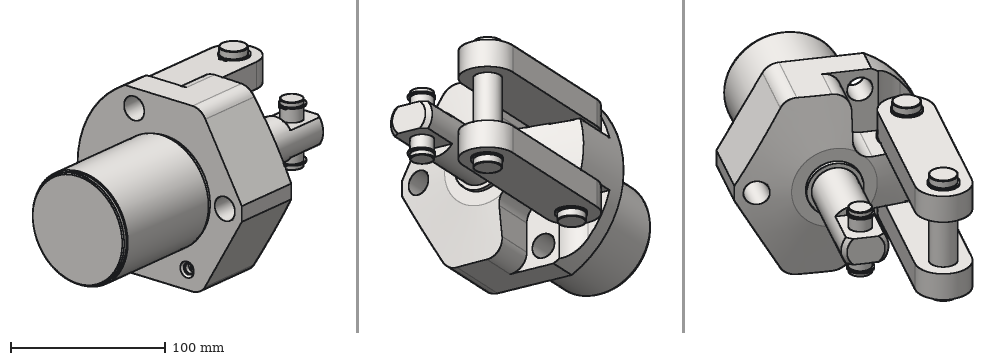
import cadquery as cq
import math


barrel_radius = 39.69
barrel_neck_radius = 38.5
barrel_neck_length = 3.2
barrel_length = 88.9
barrel_cap_length = 3.2
barrel_cap_chamfer = 0.9

flange_radius = 73.025
flange_half_height = 65.09
flange_right = 65.09
flange_nose_half_height = 5.5
flange_nose_angle = 60.0
flange_corner_radius = 12.7
flange_height = 57.15
crown_flat_radius = 28.6
crown_slope = 10.0
bolt_hole_diameter = 17.0
bolt_positions = [(50.8, 0), (-25.4, 50.8), (-25.4, -50.8)]

lug_half_width = 19.05
notch_floor = 22.225
notch_wall_x = -12.7
notch_round_radius = 12.7

port_x = 19.05
port_z = -50.8
port_mouth_radius = 5.7
port_seat_radius = 4.1
port_bore_radius = 3.4
port_seat_depth = 2.5
port_bore_depth = 6.0
port_socket_diameter = 4.0
port_socket_depth = 9.0

rod_radius = 15.875
rod_end = 146.6
rod_chamfer = 3.2
rod_flat_half_width = 9.525
rod_flat_start = 113.9
wiper_radius = 19.05
wiper_height = 3.2
rod_pin_radius = 7.94
rod_pin_y = 130.4
rod_pin_half_length = 23.81
rod_ring_height = 19.4

link_half_width = 19.05
link_thickness = 19.05
link_inner = lug_half_width
link_outer = link_inner + link_thickness
link_x = -flange_radius + link_half_width
lower_pin_y = 33.34
link_pitch = 103.16
link_pin_radius = 9.525
link_pin_half_length = 44.45
link_end_clearance = 0.75
link_clearance_radius = link_half_width + link_end_clearance
link_clearance_depth = 0.4

ring_thickness = 1.0
ring_side_width = 1.1
ring_offset = 0.85
ring_tab_half_width = 2.9
ring_tab_reach = 2.0
ring_gap = 1.6
pin_chamfer = 0.5


def cylinder_along_y(radius, start, end, x=0, z=0):
    plane = cq.Workplane("XZ", origin=(x, start, z))
    return plane.circle(radius).extrude(start - end)


def cylinder_along_z(radius, bottom, top, x, y):
    return cq.Workplane("XY", origin=(x, y, bottom)).circle(radius).extrude(top - bottom)


def retaining_ring(pin_radius, bottom, x, y):
    """Eccentric external ring with an open gap between two tabs on its -Y side."""
    tab_end = pin_radius + ring_tab_reach
    plane = cq.Workplane("XY", origin=(x, y, bottom))
    ring = plane.center(0, ring_offset).circle(pin_radius + ring_side_width).extrude(ring_thickness)
    tabs = plane.center(0, -tab_end / 2).rect(2 * ring_tab_half_width, tab_end).extrude(ring_thickness)
    gap = plane.center(0, -tab_end).rect(ring_gap, tab_end).extrude(ring_thickness)
    return ring.union(tabs).cut(gap)


def ringed_pin(radius, half_length, ring_height, x, y):
    """Pin along Z, centred on Z = 0, with a retaining ring near each end."""
    pin = cylinder_along_z(radius, -half_length, half_length, x, y)
    pin = pin.faces("|Z").chamfer(pin_chamfer)
    for bottom in (ring_height, -ring_height - ring_thickness):
        pin = pin.union(retaining_ring(radius, bottom, x, y))
    return pin


def flange_blank():
    """Flange outline with a shallow conical crown on its rod side."""
    arc_end_x = -math.sqrt(flange_radius**2 - flange_half_height**2)
    nose_run = (flange_half_height - flange_nose_half_height) / math.tan(math.radians(flange_nose_angle))
    corner_x = flange_right - nose_run
    prism = (
        cq.Workplane("XZ")
        .moveTo(arc_end_x, -flange_half_height)
        .lineTo(corner_x, -flange_half_height)
        .lineTo(flange_right, -flange_nose_half_height)
        .lineTo(flange_right, flange_nose_half_height)
        .lineTo(corner_x, flange_half_height)
        .lineTo(arc_end_x, flange_half_height)
        .threePointArc((-flange_radius, 0), (arc_end_x, -flange_half_height))
        .close()
        .extrude(-flange_height)
    )
    corners = cq.selectors.BoxSelector(
        (0, 0, -2 * flange_half_height),
        (flange_right - flange_corner_radius, flange_height, 2 * flange_half_height),
    )
    prism = prism.edges("|Y").edges(corners).fillet(flange_corner_radius)

    crown_radius = flange_radius + flange_corner_radius
    crown_drop = (crown_radius - crown_flat_radius) * math.tan(math.radians(crown_slope))
    crown = (
        cq.Workplane("XY")
        .moveTo(0, 0)
        .lineTo(crown_radius, 0)
        .lineTo(crown_radius, flange_height - crown_drop)
        .lineTo(crown_flat_radius, flange_height)
        .lineTo(0, flange_height)
        .close()
        .revolve(360, (0, 0, 0), (0, 1, 0))
    )
    return prism.intersect(crown)


def side_notch():
    """Cutter for the upper notch: rounded over at the top, filleted into the lug."""
    r = notch_round_radius
    diagonal = r * math.sqrt(0.5)
    round_x = notch_wall_x + r
    round_z = flange_half_height - r
    fillet_x = notch_wall_x - r
    fillet_z = lug_half_width + r
    return (
        cq.Workplane("XZ", origin=(0, notch_floor, 0))
        .moveTo(round_x, flange_half_height)
        .threePointArc((round_x - diagonal, round_z + diagonal), (notch_wall_x, round_z))
        .lineTo(notch_wall_x, fillet_z)
        .threePointArc((fillet_x + diagonal, fillet_z - diagonal), (fillet_x, lug_half_width))
        .lineTo(-2 * flange_radius, lug_half_width)
        .lineTo(-2 * flange_radius, flange_half_height)
        .close()
        .extrude(-flange_height)
    )


def link_end_pocket():
    """Cutter for the upper pocket that clears the round lower end of a link."""
    bottom = lug_half_width - link_clearance_depth
    pocket = cylinder_along_z(link_clearance_radius, bottom, flange_half_height, link_x, lower_pin_y)
    open_side = (
        cq.Workplane("XY", origin=(link_x, lower_pin_y, bottom))
        .rect(-flange_radius, -link_clearance_radius, centered=False)
        .extrude(flange_half_height - bottom)
    )
    return pocket.union(open_side)


def oil_port():
    """Cutter for the countersunk, stepped port with a hexagon at its bottom."""
    mouth_depth = port_mouth_radius - port_seat_radius
    port = (
        cq.Workplane("XY")
        .moveTo(0, 0)
        .lineTo(port_mouth_radius, 0)
        .lineTo(port_seat_radius, mouth_depth)
        .lineTo(port_seat_radius, port_seat_depth)
        .lineTo(port_bore_radius, port_seat_depth)
        .lineTo(port_bore_radius, port_bore_depth)
        .lineTo(0, port_bore_depth)
        .close()
        .revolve(360, (0, 0, 0), (0, 1, 0))
    )
    socket = cq.Workplane("XZ").polygon(6, port_socket_diameter).extrude(-port_socket_depth)
    return port.union(socket).translate((port_x, 0, port_z))


def barrel():
    cap_start = -barrel_length + barrel_cap_length
    body = cylinder_along_y(barrel_radius, cap_start, -barrel_neck_length)
    core = cylinder_along_y(barrel_neck_radius, -barrel_length, 0)
    core = core.faces("<Y").chamfer(barrel_cap_chamfer)
    return core.union(body)


def plunger_rod():
    rod = cylinder_along_y(rod_radius, 0, rod_end)
    rod = rod.faces(">Y").chamfer(rod_chamfer)
    flat_length = rod_end - rod_flat_start
    flat_depth = rod_radius - rod_flat_half_width
    for side in (1, -1):
        centre = (0, rod_flat_start + flat_length / 2, side * (rod_flat_half_width + flat_depth / 2))
        rod = rod.cut(cq.Workplane("XY", origin=centre).box(2 * rod_radius, flat_length, flat_depth))
    wiper = cylinder_along_y(wiper_radius, 0, flange_height + wiper_height)
    pin = ringed_pin(rod_pin_radius, rod_pin_half_length, rod_ring_height, 0, rod_pin_y)
    return rod.union(wiper).union(pin)


def clamp_cylinder():
    body = flange_blank()
    for cutter in (side_notch(), link_end_pocket()):
        body = body.cut(cutter).cut(cutter.mirror("XY"))
    for x, z in bolt_positions:
        body = body.cut(cylinder_along_y(bolt_hole_diameter / 2, 0, flange_height, x, z))
    body = body.cut(cylinder_along_z(link_pin_radius, -link_outer, link_outer, link_x, lower_pin_y))
    body = body.cut(oil_port())
    return body.union(barrel()).union(plunger_rod())


def link_pair():
    """Two parallel links joined by the pins at their ends."""
    link = (
        cq.Workplane("XY", origin=(link_x, lower_pin_y + link_pitch / 2, link_inner))
        .slot2D(link_pitch + 2 * link_half_width, 2 * link_half_width, 90)
        .extrude(link_thickness)
    )
    pair = ringed_pin(link_pin_radius, link_pin_half_length, link_outer, link_x, lower_pin_y)
    pair = pair.union(
        ringed_pin(link_pin_radius, link_pin_half_length, link_outer, link_x, lower_pin_y + link_pitch)
    )
    return pair.union(link).union(link.mirror("XY"))


cylinder_body = clamp_cylinder()
link_body = link_pair()

result = cq.Compound.makeCompound([cylinder_body.val(), link_body.val()])